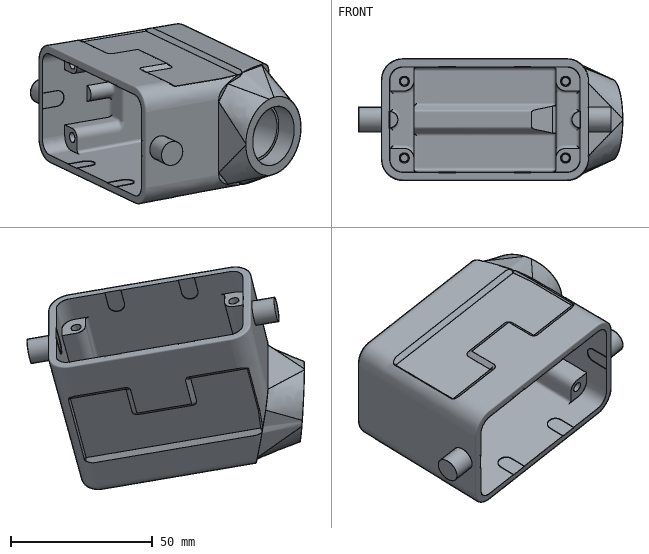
import cadquery as cq
import math

overall_length = 93.2
overall_depth = 61.3
body_length = 72.9
body_height = 42.95
body_depth = 57.1
corner_radius = 7.5
draft_angle = 0.5
back_fillet = 3.45
rim_fillet = 0.6

wall = 2.9
cavity_depth = 54
cavity_floor_fillet = 1.1

end_block_x = 25.1
ledge_y = 27.95
post_face_y = 9.1
post_hole_x = 28.4
post_hole_z = 13.5
post_radius = 3.4
ledge_fillet = 1.1
screw_hole_diameter = 2.7
screw_hole_mouth = 3.5
screw_hole_depth = 14

stop_radius = 2.9
stop_face_y = 18.3

ridge_height = 3.7
ridge_base_half = 5.1
ridge_top_half = 3.2
ridge_fillet = 1.1
ridge_ramp_start = 16.4
ridge_ramp_end = 23.8
ridge_ramp_drop = 3.0

slot_width = 5.8
slot_length = 8.85
slot_depth = 0.14
slot_spacing = 26.5

pin_diameter = 8.8
pin_y = 6.1
pin_tip_left = 44.5
pin_tip_right = 44.4

recess_depth = 1.4
recess_bank = 1.8
recess_left = -31.7
recess_right = 32.05
recess_right_top = 31.2
recess_front = 14.8
recess_back = 41.55
recess_bend_y = 33.5
tab_half_width = 11.6
tab_back = 26.7
tab_corner_radius = 2.0
cutter_overlap = 0.1

outlet_tilt = 15.5
outlet_diameter = 28.4
seat_front_y = 30.3
seat_back_x = 26.1
seat_front_half = 13
seat_corner_front = 5.2
seat_corner_half = 18.4
seat_side_half = 20.6
seat_corner_back = 3.9
seat_back_half = 16.8
step_height = 1.1
step_arc_start = -8
step_arc_end = 0
flat_arc = 1
bore_diameter = 19.5
mouth_diameter = 21.3
mouth_depth = 7.45
bore_length = 24.2

TOUCH = 0.01

half_length = body_length / 2
half_height = body_height / 2
tilt = math.radians(outlet_tilt)
outlet_axis = cq.Vector(math.cos(tilt), math.sin(tilt), 0)
outlet_radius = outlet_diameter / 2
outlet_center = cq.Vector(
    overall_length - pin_tip_left - outlet_radius * math.sin(tilt),
    overall_depth - outlet_radius * math.cos(tilt),
    0,
)
seat_front_x = half_length - seat_front_y * math.tan(math.radians(draft_angle))
seat_origin = cq.Vector(seat_front_x, seat_front_y, 0)
seat_run = cq.Vector(seat_back_x - seat_front_x, body_depth - seat_front_y, 0)


def back_facing(y):
    """Workplane parallel to the rim at depth y, facing the closed back."""
    return cq.Workplane(cq.Plane(origin=(0, y, 0), xDir=(1, 0, 0), normal=(0, 1, 0)))


def edges_where(solid, test):
    """The solid's edges whose bounding box and centre pass the test, as a selection."""
    return solid.newObject([e for e in solid.edges().vals() if test(e.BoundingBox(), e.Center())])


def drafted_block(length, height, depth, radius):
    """Rounded block that narrows from the rim towards the back."""
    outline = cq.Sketch().rect(length, height).vertices().fillet(radius)
    return back_facing(0).placeSketch(outline).extrude(depth, taper=draft_angle)


def body_shell():
    block = drafted_block(body_length, body_height, body_depth, corner_radius)
    block = block.faces(">Y").edges().fillet(back_fillet)
    return block.faces("<Y").edges().fillet(rim_fillet)


def side_recess():
    """Cutter for the +Z recess: its floor outline, widening outwards."""
    outline = [
        (recess_left, recess_front),
        (-tab_half_width, recess_front),
        (-tab_half_width, tab_back),
        (tab_half_width, tab_back),
        (tab_half_width, recess_front),
        (recess_right, recess_front),
        (recess_right, recess_bend_y),
        (recess_right_top, recess_back),
        (recess_left, recess_back),
    ]
    bank_angle = math.degrees(math.atan2(recess_bank, recess_depth))
    cutter_height = recess_depth + cutter_overlap
    floor = cq.Sketch().polygon(outline + outline[:1])
    low_corner = (-tab_half_width - TOUCH, tab_back - TOUCH, -TOUCH)
    high_corner = (tab_half_width + TOUCH, tab_back + TOUCH, TOUCH)
    tab_corners = cq.selectors.BoxSelector(low_corner, high_corner)
    floor = floor.vertices(tab_corners).fillet(tab_corner_radius)
    cutter = cq.Workplane("XY").placeSketch(floor).extrude(cutter_height, taper=-bank_angle)
    floor_z = half_height - recess_depth
    return cutter.rotate((0, 0, 0), (1, 0, 0), -draft_angle).translate((0, 0, floor_z))


def beyond_seat():
    """Region on the outlet side of the seat plane, behind its front edge."""
    reach = 2 * body_length
    outline = [
        seat_origin - seat_run,
        seat_origin + seat_run * 2,
        seat_origin + seat_run * 2 + cq.Vector(reach, 0, 0),
        seat_origin - seat_run + cq.Vector(reach, 0, 0),
    ]
    cutter = cq.Workplane("XY").polyline([(p.x, p.y) for p in outline]).close().extrude(reach, both=True)
    near_rim = cq.Workplane("XY").box(4 * reach, reach, 4 * reach)
    return cutter.cut(near_rim.translate((0, seat_front_y - reach / 2, 0)))


def outlet():
    """Ruled transition from the seat outline to the round end."""
    seat_length = seat_run.Length
    step_front = (recess_back - seat_front_y) * seat_length / seat_run.y
    step_back = (recess_back + recess_bank - seat_front_y) * seat_length / seat_run.y
    half_seat = [
        (0, seat_front_half),
        (seat_corner_front, seat_corner_half),
        (step_front, seat_side_half - step_height),
        (step_back, seat_side_half),
        (seat_length - seat_corner_back, seat_side_half),
        (seat_length, seat_back_half),
    ]
    half_end = [-90 + flat_arc, step_arc_start - flat_arc, step_arc_start]
    half_end += [step_arc_end, step_arc_end + flat_arc, 90 - flat_arc]

    up_seat = seat_run.normalized()
    up_end = cq.Vector(-outlet_axis.y, outlet_axis.x, 0)

    def seat_point(t, z):
        return seat_origin + up_seat * t + cq.Vector(0, 0, z)

    def end_point(angle):
        a = math.radians(angle)
        in_plane = up_end * (outlet_radius * math.sin(a))
        return outlet_center + in_plane + cq.Vector(0, 0, outlet_radius * math.cos(a))

    seat_points = [seat_point(t, z) for t, z in half_seat]
    seat_points += [seat_point(t, -z) for t, z in reversed(half_seat)]
    seat_wire = cq.Wire.makePolygon(seat_points, close=True)

    angles = half_end + [180 - a for a in reversed(half_end)]
    closed_angles = angles + [angles[0] + 360]
    arcs = []
    for start, stop in zip(closed_angles, closed_angles[1:]):
        points = [end_point(a) for a in (start, (start + stop) / 2, stop)]
        arcs.append(cq.Edge.makeThreePointArc(*points))
    end_wire = cq.Wire.assembleEdges(arcs)
    return cq.Workplane(cq.Solid.makeLoft([seat_wire, end_wire], True))


def outlet_bore():
    inward = outlet_axis * -1
    bore = cq.Solid.makeCylinder(bore_diameter / 2, bore_length, outlet_center, inward)
    mouth = cq.Solid.makeCylinder(mouth_diameter / 2, mouth_depth, outlet_center, inward)
    return cq.Workplane(bore).union(cq.Workplane(mouth))


def box_between(x0, x1, y0, y1, z_half):
    return cq.Workplane("XY").box(x1 - x0, y1 - y0, 2 * z_half, centered=False).translate((x0, y0, -z_half))


def end_block():
    """Ledge, corner screw posts and half-round stop at the +X end."""
    root_y = ledge_y + wall
    block = box_between(end_block_x, half_length, ledge_y, cavity_depth + wall, half_height)
    inner_z = post_hole_z - post_radius
    post_size = (half_length - end_block_x, root_y - post_face_y, half_height - inner_z)
    post = cq.Workplane("XY").box(*post_size, centered=False)
    post = post.translate((end_block_x, post_face_y, inner_z)).edges("|Y and <X and <Z").fillet(post_radius)
    stop = back_facing(stop_face_y).center(half_length - wall, 0).circle(stop_radius)
    stop = stop.extrude(root_y - stop_face_y)
    return block.union(post).union(post.mirror("XY")).union(stop)


def ridge():
    """Trapezoidal ridge whose +X end ramps down to the back of the cavity."""
    top_y = cavity_depth - ridge_height
    root_y = cavity_depth + wall / 2
    slope = (ridge_base_half - ridge_top_half) / ridge_height
    root_half = ridge_base_half + slope * (root_y - cavity_depth)
    section = [(top_y, -ridge_top_half), (top_y, ridge_top_half), (root_y, root_half), (root_y, -root_half)]
    bar = cq.Workplane("YZ", origin=(-end_block_x, 0, 0)).polyline(section).close().extrude(2 * end_block_x)
    bar = bar.edges("|X and <Y").fillet(ridge_fillet)
    ramp = [
        (ridge_ramp_start, top_y),
        (ridge_ramp_end, top_y + ridge_ramp_drop),
        (half_length, top_y + ridge_ramp_drop),
        (half_length, top_y),
    ]
    return bar.cut(cq.Workplane("XY").polyline(ramp).close().extrude(half_height, both=True))


def on_ledge(box):
    return max(abs(box.ymin - ledge_y), abs(box.ymax - ledge_y)) < TOUCH


def at_block_face(at):
    return abs(abs(at.x) - end_block_x) < TOUCH


def is_post_corner(box, at):
    """True for the long edges where the posts and end blocks meet the side walls."""
    along_side_wall = abs(at.z) > post_hole_z and box.zmax - box.zmin < wall / 2
    return at_block_face(at) and along_side_wall and box.ymin > post_face_y - TOUCH


def cavity():
    """Space inside the hood, less everything that stands in it."""
    space = drafted_block(
        body_length - 2 * wall, body_height - 2 * wall, cavity_depth, corner_radius - wall
    )
    middle_box = box_between(-end_block_x, end_block_x, 0, cavity_depth, half_height)
    middle = space.intersect(middle_box)
    blocks = end_block().union(end_block().mirror("YZ"))
    ends = space.cut(middle_box).cut(blocks)

    feet = edges_where(ends, lambda box, at: on_ledge(box) and abs(at.x) > end_block_x + TOUCH)
    space = feet.fillet(ledge_fillet).union(middle)

    corners = edges_where(space, is_post_corner)
    space = corners.fillet(cavity_floor_fillet).cut(ridge())
    space = space.faces(">Y").edges().fillet(cavity_floor_fillet)

    rims = edges_where(space, lambda box, at: on_ledge(box) and at_block_face(at))
    return rims.fillet(ledge_fillet)


def rim_slots():
    """Round-ended slots: two in each long wall and one in each end wall."""
    reach = slot_length - slot_width / 2
    outline = cq.Sketch().push([(0, reach)]).circle(slot_width / 2).reset()
    outline = outline.push([(0, reach / 2)]).rect(slot_width, reach).clean()
    slot = cq.Workplane("XY").placeSketch(outline).extrude(2 * slot_depth)
    long_wall_z = half_height - wall - slot_depth
    end_wall_x = half_length - wall - slot_depth
    upper = slot.translate((slot_spacing / 2, 0, long_wall_z))
    upper = upper.union(slot.translate((-slot_spacing / 2, 0, long_wall_z)))
    side = slot.rotate((0, 0, 0), (0, 1, 0), 90).translate((end_wall_x, 0, 0))
    slots = upper.union(upper.mirror("XY"))
    return slots.union(side).union(side.mirror("YZ"))


def screw_holes():
    hole_taper = math.degrees(math.atan2((screw_hole_mouth - screw_hole_diameter) / 2, screw_hole_depth))
    centers = [(sx * post_hole_x, sz * post_hole_z) for sx in (1, -1) for sz in (1, -1)]
    mouths = back_facing(post_face_y).pushPoints(centers).circle(screw_hole_mouth / 2)
    return mouths.extrude(screw_hole_depth, taper=hole_taper)


def locking_pins():
    root_x = half_length - wall / 2
    right = cq.Workplane("YZ", origin=(root_x, 0, 0)).center(pin_y, 0).circle(pin_diameter / 2)
    left = cq.Workplane("YZ", origin=(-pin_tip_left, 0, 0)).center(pin_y, 0).circle(pin_diameter / 2)
    return right.extrude(pin_tip_right - root_x).union(left.extrude(pin_tip_left - root_x))


recess = side_recess()
result = body_shell().cut(recess).cut(recess.mirror("XY"))
result = result.cut(beyond_seat()).union(outlet())
result = result.cut(cavity()).cut(rim_slots()).cut(screw_holes()).cut(outlet_bore())
result = result.union(locking_pins())